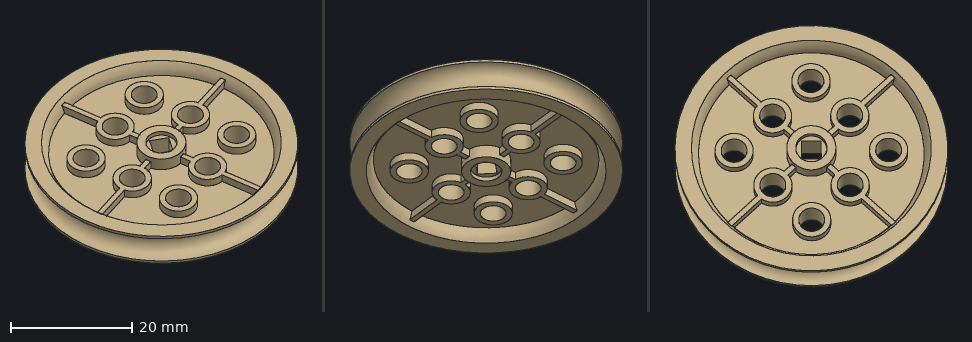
import cadquery as cq

outer_radius = 22.55
rim_height = 6.15
groove_radius = 2.53
wall_arc_radius = 4.05
recess_mouth_radius = 19.8

web_thickness = 1.55
web_edge_radius = 18.63

hub_radius = 4.05
hub_height = 6.35
hub_recess_radius = 2.55
hub_recess_depth = 0.8
axle_square_side = 3.25

boss_pitch = 9.0
boss_radius = 3.15
boss_hole_radius = 2.1
boss_height = 4.5
rib_width = 0.95


def centred_cylinder(radius, height):
    return cq.Workplane("XY", origin=(0, 0, -height / 2)).circle(radius).extrude(height)


def make_rim_and_web():
    """Revolve the grooved rim, its dished inner wall and the flat web in one profile."""
    half_rim = rim_height / 2
    half_web = web_thickness / 2
    profile = (
        cq.Workplane("XZ")
        .moveTo(0, -half_web)
        .lineTo(web_edge_radius, -half_web)
        .radiusArc((recess_mouth_radius, -half_rim), -wall_arc_radius)
        .lineTo(outer_radius, -half_rim)
        .lineTo(outer_radius, -groove_radius)
        .threePointArc((outer_radius - groove_radius, 0), (outer_radius, groove_radius))
        .lineTo(outer_radius, half_rim)
        .lineTo(recess_mouth_radius, half_rim)
        .radiusArc((web_edge_radius, half_web), -wall_arc_radius)
        .lineTo(0, half_web)
        .close()
    )
    return profile.revolve(360, (0, 0, 0), (0, 1, 0))


def make_ribs():
    """Two crossed ribs that run into the rim wall without reaching its groove."""
    rib_length = 2 * recess_mouth_radius
    rib_along_x = cq.Workplane("XY").box(rib_length, rib_width, boss_height)
    rib_along_y = cq.Workplane("XY").box(rib_width, rib_length, boss_height)
    return rib_along_x.union(rib_along_y)


def on_boss_grid(shape):
    """Copies of a shape on the 3 x 3 boss grid, leaving the middle free for the hub."""
    copies = cq.Workplane("XY")
    for column in (-1, 0, 1):
        for row in (-1, 0, 1):
            if (column, row) != (0, 0):
                copies = copies.union(shape.translate((column * boss_pitch, row * boss_pitch, 0)))
    return copies


def make_axle_hole():
    """Square through hole with corners on X and Y, and a round recess at each end."""
    square = cq.Workplane("XY").box(axle_square_side, axle_square_side, hub_height)
    cutter = square.rotate((0, 0, 0), (0, 0, 1), 45)
    recess = cq.Workplane("XY").circle(hub_recess_radius).extrude(hub_recess_depth)
    top_recess = recess.translate((0, 0, hub_height / 2 - hub_recess_depth))
    bottom_recess = recess.translate((0, 0, -hub_height / 2))
    return cutter.union(top_recess).union(bottom_recess)


result = (
    make_rim_and_web()
    .union(make_ribs())
    .union(on_boss_grid(centred_cylinder(boss_radius, boss_height)))
    .union(centred_cylinder(hub_radius, hub_height))
    .cut(on_boss_grid(centred_cylinder(boss_hole_radius, boss_height)))
    .cut(make_axle_hole())
)